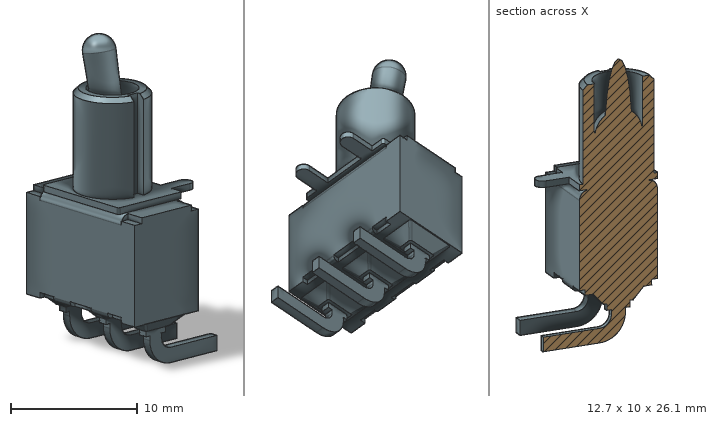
import cadquery as cq
import math


body_length = 12.7
body_width = 6.86
body_height = 8.89
band_length = 9.52
band_thickness = 0.5
band_top_radius = 0.79
band_gap_height = 0.47
band_tab_length = 1.96
band_tab_offset = 2.2
band_tab_radius = 0.4
corner_step_depth = 0.48
corner_step_width = 0.76

plate_length = 8.9
plate_thickness = 0.55
plate_corner_radius = 0.2
anchor_pitch = 5.08
anchor_width = 1.27
anchor_tip_y = 6.1

bushing_diameter = 6.25
bushing_top_z = 17.75
bushing_chamfer = 0.4
bore_diameter = 4.2
keyway_width = 1.02
keyway_floor_x = 2.4

lever_tilt = 12.0
lever_pivot_z = 13.2
lever_top_z = 21.85
lever_tip_radius = 1.35
lever_taper = 1.4

pin_pitch = 4.7
pin_thickness = 0.76
pin_width = 1.27
pin_shoulder_width = 2.06
pin_shoulder_z = -1.55
pin_bottom_z = -4.2
pin_tip_y = 6.6
pin_inner_radius = 1.0
collar_length = 3.14
collar_width = 4.44
collar_height = 1.0
collar_inset = 0.92
collar_corner_radius = 0.25

half_length = body_length / 2
half_width = body_width / 2
plate_top_z = body_height + plate_thickness


def box_between(x0, x1, y0, y1, z0, z1):
    """Axis-aligned box spanning the given limits."""
    return cq.Workplane("XY").box(x1 - x0, y1 - y0, z1 - z0, centered=False).translate((x0, y0, z0))


def make_housing():
    """Plastic housing between the band legs, with lowered top corners at both ends."""
    end_x = band_length / 2
    core_half_width = half_width - band_thickness
    step_y = half_width - corner_step_width
    step_z = body_height - corner_step_depth
    housing = box_between(-end_x, end_x, -core_half_width, core_half_width, 0, body_height - band_thickness)
    for x0, x1 in ((-half_length, -end_x), (end_x, half_length)):
        housing = housing.union(box_between(x0, x1, -half_width, half_width, 0, step_z))
        housing = housing.union(box_between(x0, x1, -step_y, step_y, step_z, body_height))
    return housing


def make_band():
    """Metal band over the housing, with short tabs that curl under the housing edges."""
    band = (
        cq.Workplane("XY")
        .workplane(offset=band_gap_height)
        .rect(band_length, body_width)
        .extrude(body_height - band_gap_height)
        .faces(">Z").edges("|X").fillet(band_top_radius)
    )
    for x in (-band_tab_offset, band_tab_offset):
        tabs = (
            cq.Workplane("XY")
            .center(x, 0)
            .rect(band_tab_length, body_width)
            .extrude(2 * band_gap_height)
            .faces("<Z").edges("|X").fillet(band_tab_radius)
        )
        band = band.union(tabs)
    return band


def make_plate():
    """Top plate with rounded corners and two round-ended anchor tabs on the +Y side."""
    plate = (
        cq.Workplane("XY")
        .workplane(offset=body_height)
        .rect(plate_length, body_width)
        .extrude(plate_thickness)
        .edges("|Z").fillet(plate_corner_radius)
    )
    tip_radius = anchor_width / 2
    for x in (-anchor_pitch / 2, anchor_pitch / 2):
        anchor = (
            cq.Workplane("XY")
            .workplane(offset=body_height)
            .moveTo(x - tip_radius, 0)
            .lineTo(x - tip_radius, anchor_tip_y - tip_radius)
            .threePointArc((x, anchor_tip_y), (x + tip_radius, anchor_tip_y - tip_radius))
            .lineTo(x + tip_radius, 0)
            .close()
            .extrude(plate_thickness)
        )
        plate = plate.union(anchor)
    return plate


def make_bushing():
    """Bushing with a chamfered rim, a keyway on +X and a bore down to the lever ball."""
    bushing_radius = bushing_diameter / 2
    bushing = (
        cq.Workplane("XY")
        .workplane(offset=plate_top_z)
        .circle(bushing_radius)
        .extrude(bushing_top_z - plate_top_z)
        .faces(">Z").chamfer(bushing_chamfer)
    )
    bore = (
        cq.Workplane("XY")
        .workplane(offset=lever_pivot_z)
        .circle(bore_diameter / 2)
        .extrude(bushing_top_z - lever_pivot_z)
    )
    keyway = box_between(
        keyway_floor_x, bushing_radius, -keyway_width / 2, keyway_width / 2, plate_top_z, bushing_top_z
    )
    return bushing.cut(bore).cut(keyway)


def make_lever():
    """Pivot ball in the bore and a tapered, round-tipped lever tilted toward -X."""
    tip_center_z = lever_top_z - lever_tip_radius
    stem_length = (tip_center_z - lever_pivot_z) / math.cos(math.radians(lever_tilt))
    root_radius = lever_tip_radius - stem_length * math.tan(math.radians(lever_taper))
    arc_offset = lever_tip_radius * math.sqrt(0.5)
    stem = (
        cq.Workplane("XZ")
        .lineTo(root_radius, 0)
        .lineTo(lever_tip_radius, stem_length)
        .threePointArc((arc_offset, stem_length + arc_offset), (0, stem_length + lever_tip_radius))
        .close()
        .revolve(360, (0, 0), (0, 1))
        .rotate((0, 0, 0), (0, 1, 0), -lever_tilt)
    )
    ball_cap = cq.Workplane("XY").sphere(bore_diameter / 2, angle1=0)
    return ball_cap.union(stem).translate((0, 0, lever_pivot_z))


def make_terminal(x):
    """Shouldered pin bent toward +Y, with its tapered sealing collar."""
    half_pin = pin_width / 2
    outer_radius = pin_inner_radius + pin_width
    bend_y = half_pin + pin_inner_radius
    bend_z = pin_bottom_z + outer_radius
    diagonal = math.sqrt(0.5)
    leg_top_z = pin_bottom_z + pin_width
    pin = (
        cq.Workplane("YZ")
        .moveTo(-half_pin, 0)
        .lineTo(-half_pin, bend_z)
        .threePointArc(
            (bend_y - outer_radius * diagonal, bend_z - outer_radius * diagonal),
            (bend_y, pin_bottom_z),
        )
        .lineTo(pin_tip_y, pin_bottom_z)
        .lineTo(pin_tip_y, leg_top_z)
        .lineTo(bend_y, leg_top_z)
        .threePointArc(
            (bend_y - pin_inner_radius * diagonal, bend_z - pin_inner_radius * diagonal),
            (half_pin, bend_z),
        )
        .lineTo(half_pin, 0)
        .close()
        .extrude(pin_thickness / 2, both=True)
    )
    half_shoulder = pin_shoulder_width / 2
    half_thickness = pin_thickness / 2
    shoulder = box_between(
        -half_thickness, half_thickness, -half_shoulder, half_shoulder, pin_shoulder_z, 0
    )
    collar = (
        cq.Workplane("XY")
        .rect(collar_length, collar_width)
        .workplane(offset=-collar_height)
        .rect(collar_length - 2 * collar_inset, collar_width - 2 * collar_inset)
        .loft(ruled=True)
        .edges("not(#Z)").fillet(collar_corner_radius)
    )
    return pin.union(shoulder).union(collar).translate((x, 0, 0))


result = make_housing().union(make_band()).union(make_plate()).union(make_bushing()).union(make_lever())
for pin_x in (-pin_pitch, 0, pin_pitch):
    result = result.union(make_terminal(pin_x))